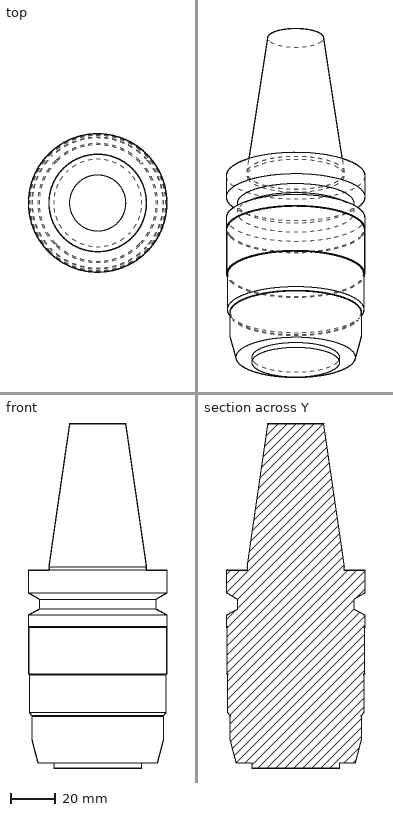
import cadquery as cq

total_height = 156.3
flange_diameter = 63.0

taper_tip_diameter = 25.5
taper_gauge_diameter = 44.4
neck_diameter = 44.0
groove_diameter = 53.0
body_diameter = 62.7
sleeve_diameter = 62.0
nose_diameter = 59.9
nose_end_diameter = 54.2
boss_diameter = 39.9

nose_end_z = 2.3
nose_z = 13.1
sleeve_chamfer_end_z = 23.9
sleeve_chamfer_z = 25.3
body_bottom_z = 42.7
body_top_z = 64.2
groove_lower_rim_z = 69.5
groove_floor_bottom_z = 72.2
groove_floor_top_z = 76.6
groove_upper_rim_z = 79.5
flange_top_z = 89.9
taper_base_z = 91.3

edge_break = 0.3


def broken_rim(diameter, top_z):
    """Stations of an upper rim with a 45 degree edge break."""
    return [
        (diameter, top_z - edge_break),
        (diameter - 2 * edge_break, top_z),
    ]


stations = [
    (boss_diameter, 0),
    (boss_diameter, nose_end_z),
    (nose_end_diameter, nose_end_z),
    (nose_diameter, nose_z),
    *broken_rim(nose_diameter, sleeve_chamfer_end_z),
    (nose_diameter, sleeve_chamfer_end_z),
    (sleeve_diameter, sleeve_chamfer_z),
    *broken_rim(sleeve_diameter, body_bottom_z),
    (body_diameter, body_bottom_z),
    *broken_rim(body_diameter, body_top_z),
    (flange_diameter, body_top_z),
    (flange_diameter, groove_lower_rim_z),
    (groove_diameter, groove_floor_bottom_z),
    (groove_diameter, groove_floor_top_z),
    (flange_diameter, groove_upper_rim_z),
    (flange_diameter, flange_top_z),
    (neck_diameter, flange_top_z),
    (neck_diameter, taper_base_z),
    (taper_gauge_diameter, taper_base_z),
    (taper_tip_diameter, total_height),
]
outline = [(diameter / 2, height) for diameter, height in stations]

result = (
    cq.Workplane("XZ")
    .polyline([(0, 0)] + outline + [(0, total_height)])
    .close()
    .revolve(360, (0, 0), (0, 1))
)